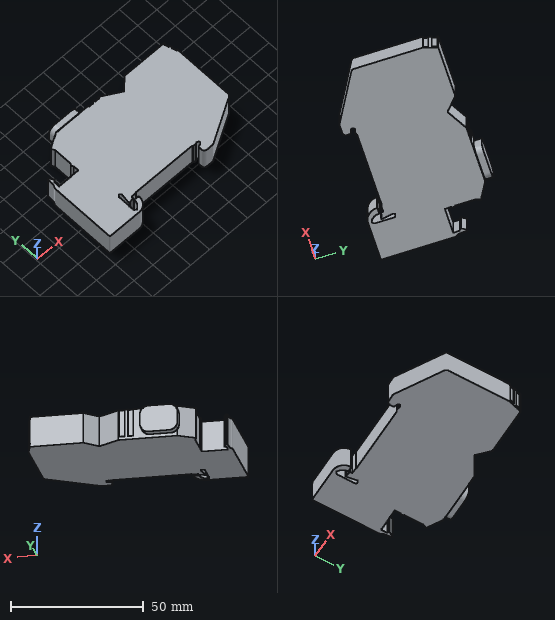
import cadquery as cq
import math

length = 76.2
thickness = 12.1
top_y = 47.25
top_end_x = 40.5
right_top = (74.45, top_y)
right_low = (length, 41.3)
slope_angle = 30.0
foot_y = 2.05
foot_slope_x = 56.4
right_slope_y = foot_y + (length - foot_slope_x) * math.tan(math.radians(slope_angle))
corner_radius = 1.4
side_radius = 0.45

clip_floor_y = 29.3
clip_inner_x = 1.9
finger_x = 0.8
finger_step_height = 2.05
wall_x = 12.0
lip_x = 11.3
nub_y = 32.6
nub_half_height = 0.8
nub_reach = 0.4

seat_y = 7.2
slot_left_x = 14.7
slot_right_x = 16.4
slot_top_y = 10.8
slot_radius = 0.7
foot_left_x = 51.7

button_x = 17.0
button_length = 14.5
button_z = 1.4
button_width = 10.5
button_height = 3.05
button_radius = 3.2

pocket_length = 2.05
pocket_pitch = 3.3
pocket_depth = 0.45
pocket_floor_z = button_z


def make_outline():
    return (
        cq.Workplane("XY")
        .moveTo(0, 0)
        .lineTo(0, clip_floor_y)
        .tangentArcPoint((finger_x / 2, clip_floor_y + finger_step_height / 2), relative=False)
        .tangentArcPoint((finger_x, clip_floor_y + finger_step_height), relative=False)
        .lineTo(1.0, 34.45)
        .lineTo(1.15, 34.7)
        .lineTo(1.45, 34.7)
        .lineTo(2.6, 32.8)
        .lineTo(2.6, 32.3)
        .lineTo(clip_inner_x, 31.9)
        .lineTo(clip_inner_x, clip_floor_y)
        .lineTo(wall_x, clip_floor_y)
        .lineTo(wall_x, nub_y - nub_half_height)
        .threePointArc((wall_x - nub_reach, nub_y), (wall_x, nub_y + nub_half_height))
        .lineTo(wall_x, 41.75)
        .lineTo(11.9, 42.0)
        .lineTo(lip_x, 43.1)
        .lineTo(lip_x, 43.5)
        .lineTo(17.7, top_y)
        .lineTo(top_end_x, top_y)
        .lineTo(48.7, 42.45)
        .lineTo(53.8, top_y)
        .lineTo(*right_top)
        .lineTo(*right_low)
        .lineTo(length, right_slope_y)
        .lineTo(foot_slope_x, foot_y)
        .lineTo(foot_left_x, foot_y)
        .lineTo(foot_left_x, 5.1)
        .lineTo(53.3, 5.7)
        .threePointArc((53.6, 6.4), (52.95, 7.0))
        .lineTo(52.5, 7.1)
        .lineTo(51.75, 6.7)
        .lineTo(50.75, 6.85)
        .lineTo(50.45, seat_y)
        .lineTo(20.7, seat_y)
        .lineTo(20.7, 7.0)
        .lineTo(18.1, 6.85)
        .lineTo(18.1, 5.95)
        .lineTo(16.1, 5.65)
        .lineTo(16.1, 5.3)
        .lineTo(15.5, 5.3)
        .lineTo(slot_right_x, slot_top_y)
        .lineTo(slot_left_x, slot_top_y)
        .lineTo(slot_left_x, 2.5)
        .threePointArc((15.0, 1.8), (15.7, 1.5))
        .threePointArc((17.15, 2.75), (17.9, 5.25))
        .lineTo(20.1, 5.25)
        .lineTo(20.3, 4.95)
        .threePointArc((18.9, 1.5), (15.6, 0))
        .close()
    )


def round_corner(body, x, y, radius):
    """Fillet the upright edge that stands at (x, y)."""
    nearest = cq.selectors.NearestToPointSelector((x, y, thickness / 2))
    return body.edges("|Z").edges(nearest).fillet(radius)


def make_housing():
    body = make_outline().extrude(thickness)
    for x, y in [(length, right_slope_y), (foot_slope_x, foot_y), (foot_left_x, foot_y)]:
        body = round_corner(body, x, y, corner_radius)
    for x, y in [(slot_left_x, slot_top_y), (slot_right_x, slot_top_y)]:
        body = round_corner(body, x, y, slot_radius)
    return round_corner(body, 0, 0, side_radius)


def make_button():
    block = cq.Workplane("XY").box(button_length, button_height, button_width, centered=False)
    block = block.edges("|Y").fillet(button_radius)
    return block.translate((button_x, top_y, button_z))


def make_pocket_pair(start, end):
    """Two pockets centred on the upper or right edge running from start to end."""
    run_x = end[0] - start[0]
    run_y = end[1] - start[1]
    angle = math.degrees(math.atan2(run_y, run_x))
    middle = ((start[0] + end[0]) / 2, (start[1] + end[1]) / 2, pocket_floor_z)
    height = thickness - pocket_floor_z
    cutters = (
        cq.Workplane("XY")
        .pushPoints([(-pocket_pitch / 2, 0), (pocket_pitch / 2, 0)])
        .rect(pocket_length, 2 * pocket_depth)
        .extrude(height)
    )
    return cutters.rotate((0, 0, 0), (0, 0, 1), angle).translate(middle)


right_edge_length = math.dist(right_top, right_low)
result = make_housing().union(make_button())
result = result.cut(make_pocket_pair((top_end_x - right_edge_length, top_y), (top_end_x, top_y)))
result = result.cut(make_pocket_pair(right_top, right_low))